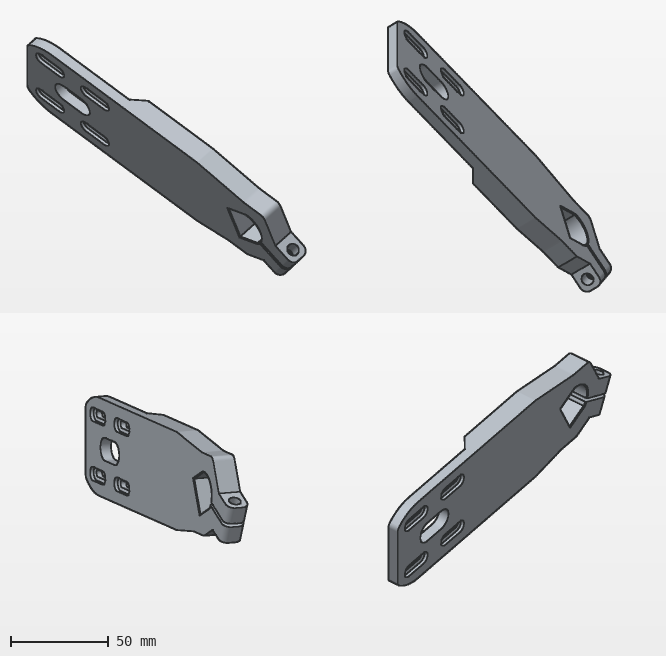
import cadquery as cq
import math

LENGTH = 184.01
HEIGHT = 51.3
THICKNESS = 12.0
FLOOR_THICKNESS = 6.0

END_ARC_RADIUS = 25.0
END_ARC_RUN = 17.3
END_CORNER_RADIUS = 3.5

TAPER_START_X = 117.5
NECK_TOP = 20.8
NECK_BOTTOM = -22.4
TAPER_ANGLE = math.radians(8.5)
TAPER_START_RADIUS = 4.0
TAPER_END_RADIUS = 8.0
SHOULDER_RADIUS = 3.5

CLAMP_ANGLE = math.radians(25)
LUG_HEIGHT = 10.0
SPLIT_WIDTH = 2.0
ARM_HALF = LUG_HEIGHT + SPLIT_WIDTH / 2
TIP_REACH = 30.5
SHOULDER_REACH = 17.0
LOWER_REACH = 18.2
LUG_TIP_RADIUS = 4.0
SCREW_DIAMETER = 6.3
SCREW_TO_TIP = 6.0
BORE_X = LENGTH - TIP_REACH * math.cos(CLAMP_ANGLE) - ARM_HALF * math.sin(CLAMP_ANGLE)
BORE_Z = 0.45
BORE_RADIUS = 10.2
SQUARE_HALF = 9.5
SQUARE_ANGLE = 25.0
BORE_CHAMFER = 0.5

MOUNT_X = 31.3
MOUNT_PITCH = 31.0
SLOT_TRAVEL = 12.3
SLOT_WIDTH = 3.8
SLOT_MOUTH_WIDTH = 7.2
SLOT_MOUTH_DEPTH = 2.0
SLOT_SEAT_DRAFT = 65.0
CENTER_SLOT_LENGTH = 24.0
CENTER_SLOT_WIDTH = 12.0

RECESS_DRAFT = 45.0
RECESS_ARM_X = 65.0
RECESS_ARM_Z = 15.8
RECESS_ARM_ANGLE = math.radians(40)
RECESS_SHELF_ANGLE = math.radians(78)
RECESS_SHELF_DROP = 2.2
RECESS_NOSE_Z = 1.7
RECESS_NOSE_ANGLE = math.radians(25)

CHAMFER_ANGLE = 45.0
CUT_MARGIN = 20.0


def clamp_point(along, across):
    """XZ point from clamp coordinates: along the split, and across it (positive up)."""
    cosine = math.cos(CLAMP_ANGLE)
    sine = math.sin(CLAMP_ANGLE)
    return (
        BORE_X + along * cosine + across * sine,
        BORE_Z - along * sine + across * cosine,
    )


def front_plane(y=0.0):
    """Sketch plane at depth y: local x = X, local y = Z; negative extrusions run toward +Y."""
    return cq.Workplane("XZ", origin=(0, y, 0))


def round_edge(body, point, radius):
    """Fillet the edge parallel to Y that passes through an XZ outline point."""
    x, z = point
    return body.edges(cq.selectors.NearestToPointSelector((x, THICKNESS / 2, z))).fillet(radius)


def make_plate():
    half = HEIGHT / 2
    arc_z = half - END_ARC_RADIUS
    corner_z = arc_z + math.sqrt(END_ARC_RADIUS**2 - END_ARC_RUN**2)
    mid_angle = math.asin(END_ARC_RUN / END_ARC_RADIUS) / 2
    mid_x = END_ARC_RUN - END_ARC_RADIUS * math.sin(mid_angle)
    mid_z = arc_z + END_ARC_RADIUS * math.cos(mid_angle)

    slope = math.tan(TAPER_ANGLE)
    upper_start = (TAPER_START_X, half)
    upper_end = (TAPER_START_X + (half - NECK_TOP) / slope, NECK_TOP)
    lower_start = (TAPER_START_X, -half)
    lower_end = (TAPER_START_X + (half + NECK_BOTTOM) / slope, NECK_BOTTOM)

    inner_corner = clamp_point(SHOULDER_REACH, ARM_HALF)
    shoulder_x = inner_corner[0] - (NECK_TOP - inner_corner[1]) * math.tan(CLAMP_ANGLE)
    shoulder = (shoulder_x, NECK_TOP)
    lower_corner = clamp_point(LOWER_REACH, -ARM_HALF)
    lower_neck_x = lower_corner[0] - (lower_corner[1] - NECK_BOTTOM) / math.tan(CLAMP_ANGLE)

    plate = (
        front_plane()
        .moveTo(0, -corner_z)
        .lineTo(0, corner_z)
        .threePointArc((mid_x, mid_z), (END_ARC_RUN, half))
        .lineTo(*upper_start)
        .lineTo(*upper_end)
        .lineTo(*shoulder)
        .lineTo(*inner_corner)
        .lineTo(*clamp_point(TIP_REACH, ARM_HALF))
        .lineTo(*clamp_point(TIP_REACH, -ARM_HALF))
        .lineTo(*lower_corner)
        .lineTo(lower_neck_x, NECK_BOTTOM)
        .lineTo(*lower_end)
        .lineTo(*lower_start)
        .lineTo(END_ARC_RUN, -half)
        .threePointArc((mid_x, -mid_z), (0, -corner_z))
        .close()
        .extrude(-THICKNESS)
    )
    for start, end in ((upper_start, upper_end), (lower_start, lower_end)):
        plate = round_edge(plate, start, TAPER_START_RADIUS)
        plate = round_edge(plate, end, TAPER_END_RADIUS)
    for z in (corner_z, -corner_z):
        plate = round_edge(plate, (0, z), END_CORNER_RADIUS)
    plate = round_edge(plate, shoulder, SHOULDER_RADIUS)
    tip_x, tip_z = clamp_point(TIP_REACH, 0)
    for y in (0, THICKNESS):
        tip_edge = cq.selectors.NearestToPointSelector((tip_x, y, tip_z))
        plate = plate.edges(tip_edge).fillet(LUG_TIP_RADIUS)
    return plate


def make_recess():
    """Pocket that thins the mounting end, with a stepped wall and a blunt nose in it."""
    outside = HEIGHT / 2 + CUT_MARGIN
    arm_run = (HEIGHT / 2 - RECESS_ARM_Z) * math.tan(RECESS_ARM_ANGLE)
    shelf_run = RECESS_SHELF_DROP * math.tan(RECESS_SHELF_ANGLE)
    shelf_x = RECESS_ARM_X + arm_run
    inner_z = RECESS_ARM_Z - RECESS_SHELF_DROP
    nose_x = shelf_x + shelf_run
    nose_run = (RECESS_NOSE_Z + inner_z) * math.tan(RECESS_NOSE_ANGLE)
    lower_shelf_x = nose_x + nose_run - shelf_run
    outer_shift = (outside - RECESS_ARM_Z) * math.tan(RECESS_ARM_ANGLE)
    return (
        front_plane(FLOOR_THICKNESS)
        .moveTo(-CUT_MARGIN, outside)
        .lineTo(shelf_x - outer_shift, outside)
        .lineTo(shelf_x, RECESS_ARM_Z)
        .lineTo(nose_x, inner_z)
        .lineTo(nose_x, RECESS_NOSE_Z)
        .lineTo(nose_x + nose_run, -inner_z)
        .lineTo(lower_shelf_x, -RECESS_ARM_Z)
        .lineTo(lower_shelf_x - outer_shift, -outside)
        .lineTo(-CUT_MARGIN, -outside)
        .close()
        .extrude(-(THICKNESS - FLOOR_THICKNESS), taper=-RECESS_DRAFT)
    )


def make_slot(x, z, travel, width, start, depth, taper=0.0):
    """Slot cutter along X from depth `start`; `travel` is the distance between end centres."""
    return (
        front_plane(start)
        .center(x, z)
        .slot2D(travel + width, width)
        .extrude(-depth, taper=taper)
    )


def make_mount_slot(x, z):
    """Through slot with a straight mouth and a sloped screw seat on the front face."""
    seat_inset = (SLOT_MOUTH_WIDTH - SLOT_WIDTH) / 2
    seat_depth = seat_inset / math.tan(math.radians(SLOT_SEAT_DRAFT))
    through = make_slot(x, z, SLOT_TRAVEL, SLOT_WIDTH, 0, THICKNESS)
    mouth = make_slot(x, z, SLOT_TRAVEL, SLOT_MOUTH_WIDTH, 0, SLOT_MOUTH_DEPTH)
    seat = make_slot(x, z, SLOT_TRAVEL, SLOT_MOUTH_WIDTH, SLOT_MOUTH_DEPTH, seat_depth, SLOT_SEAT_DRAFT)
    return through.union(mouth).union(seat)


def cut_mounting_slots(body):
    for side_x in (-1, 1):
        for side_z in (-1, 1):
            slot = make_mount_slot(MOUNT_X + side_x * MOUNT_PITCH / 2, side_z * MOUNT_PITCH / 2)
            body = body.cut(slot)
    center_travel = CENTER_SLOT_LENGTH - CENTER_SLOT_WIDTH
    center_slot = make_slot(MOUNT_X, 0, center_travel, CENTER_SLOT_WIDTH, 0, THICKNESS)
    return body.cut(center_slot)


def bore_profile(growth):
    """Closed bore outline, grown outward: three flat walls closed by an arc."""
    half = SQUARE_HALF + growth
    radius = BORE_RADIUS + growth
    arc_start = math.sqrt(radius**2 - half**2)
    return (
        front_plane()
        .center(BORE_X, BORE_Z)
        .transformed(rotate=(0, 0, SQUARE_ANGLE))
        .moveTo(arc_start, half)
        .lineTo(-half, half)
        .lineTo(-half, -half)
        .lineTo(arc_start, -half)
        .threePointArc((radius, 0), (arc_start, half))
        .close()
    )


def cut_clamp(body):
    """Bore with a square side, the split through the lugs and the clamp screw hole."""
    bore = bore_profile(0).extrude(-THICKNESS)
    bore_chamfer = bore_profile(BORE_CHAMFER).extrude(-BORE_CHAMFER, taper=CHAMFER_ANGLE)
    split = (
        front_plane()
        .polyline([
            clamp_point(0, SPLIT_WIDTH / 2),
            clamp_point(TIP_REACH + CUT_MARGIN, SPLIT_WIDTH / 2),
            clamp_point(TIP_REACH + CUT_MARGIN, -SPLIT_WIDTH / 2),
            clamp_point(0, -SPLIT_WIDTH / 2),
        ])
        .close()
        .extrude(-THICKNESS)
    )
    hole_x, hole_z = clamp_point(TIP_REACH - SCREW_TO_TIP, -ARM_HALF - CUT_MARGIN)
    hole_axis = cq.Vector(math.sin(CLAMP_ANGLE), 0, math.cos(CLAMP_ANGLE))
    screw_hole = cq.Solid.makeCylinder(
        SCREW_DIAMETER / 2,
        2 * (ARM_HALF + CUT_MARGIN),
        cq.Vector(hole_x, THICKNESS / 2, hole_z),
        hole_axis,
    )
    return body.cut(bore).cut(bore_chamfer).cut(split).cut(cq.Workplane(screw_hole))


result = cut_clamp(cut_mounting_slots(make_plate().cut(make_recess())))